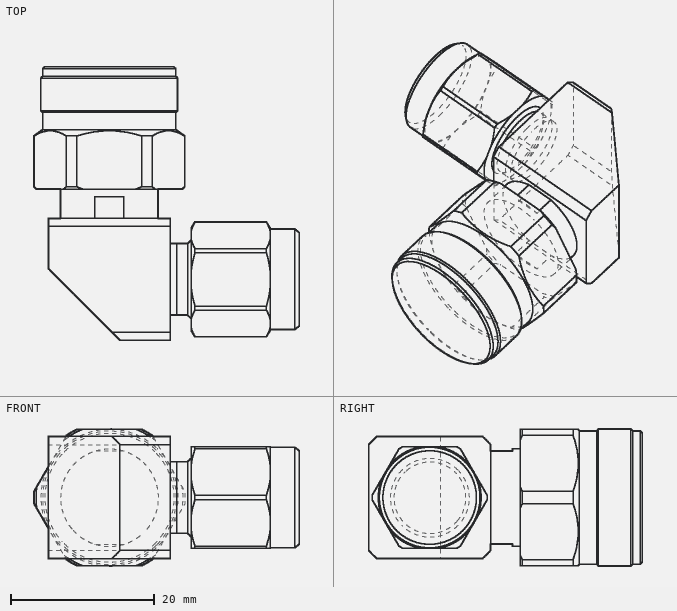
import cadquery as cq
import math


OVERALL_X = 36.95
OVERALL_Y = 38.1
HEX_SIDES = 6

BLOCK_SIDE = 17.0
BLOCK_HALF = BLOCK_SIDE / 2
BLOCK_CORNER_CUT = 10.0
BLOCK_TURNED_RADIUS = 11.25
BOSS_RADIUS = 5.0
BOSS_LENGTH = 0.88

LARGE_NECK_RADIUS = 13.6 / 2
LARGE_NECK_FLATS = 13.0
LARGE_NECK_FLAT_LENGTH = 3.0
LARGE_HEX_START = 12.57
LARGE_HEX_END = 20.85
LARGE_HEX_FLATS = 19.0
LARGE_HEX_RADIUS = 10.5
LARGE_HEX_REAR_CHAMFER = 0.3
LARGE_HEX_FRONT_CHAMFER = 0.88
LARGE_BARREL_RADIUS = 9.3
LARGE_BAND_RADIUS = 19.1 / 2
LARGE_BAND_START = 23.25
LARGE_BAND_END = 28.27
LARGE_BAND_CHAMFER = LARGE_BAND_RADIUS - LARGE_BARREL_RADIUS
LARGE_LENGTH = OVERALL_Y - BLOCK_HALF
LARGE_TIP_CHAMFER = 0.3

SMALL_FLARE_START = 10.9
SMALL_HEX_START = 11.4
SMALL_HEX_END = 22.4
SMALL_HEX_FLATS = 14.17
SMALL_HEX_RADIUS = 8.0
SMALL_HEX_FACE_RADIUS = 7.15
SMALL_HEX_CHAMFER = 0.55
SMALL_BARREL_RADIUS = 7.0
SMALL_LENGTH = OVERALL_X - LARGE_HEX_RADIUS
SMALL_TIP_CHAMFER_LENGTH = 0.6
SMALL_TIP_CHAMFER_DEPTH = 0.5


def turned(profile):
    """Revolve (position, radius) points, closed along the axis, about the X axis."""
    start = profile[0][0]
    end = profile[-1][0]
    outline = [(start, 0), *profile, (end, 0)]
    return cq.Workplane("XY").polyline(outline).close().revolve(360, (0, 0, 0), (1, 0, 0))


def hexagon(start, end, across_flats):
    """Hexagonal prism along X with two of its flats facing +Z and -Z."""
    corner_diameter = across_flats / math.cos(math.pi / HEX_SIDES)
    return cq.Workplane("YZ").workplane(offset=start).polygon(HEX_SIDES, corner_diameter).extrude(end - start)


def make_block():
    block = cq.Workplane("XY").box(BLOCK_SIDE, BLOCK_SIDE, BLOCK_SIDE)
    round_bar = cq.Workplane("YZ").circle(BLOCK_TURNED_RADIUS).extrude(BLOCK_HALF, both=True)
    block = block.intersect(round_bar)

    corner_cut = (
        cq.Workplane("XY")
        .moveTo(-BLOCK_HALF, -BLOCK_HALF)
        .hLine(BLOCK_CORNER_CUT)
        .lineTo(-BLOCK_HALF, -BLOCK_HALF + BLOCK_CORNER_CUT)
        .close()
        .extrude(BLOCK_HALF, both=True)
    )
    boss = cq.Workplane("YZ").workplane(offset=BLOCK_HALF).circle(BOSS_RADIUS).extrude(BOSS_LENGTH)
    return block.cut(corner_cut).union(boss)


def large_neck():
    length = LARGE_HEX_START - BLOCK_HALF
    neck = cq.Workplane("YZ").workplane(offset=BLOCK_HALF).circle(LARGE_NECK_RADIUS).extrude(length)
    for side in (1, -1):
        flat_cut = (
            cq.Workplane("XY")
            .box(LARGE_NECK_FLAT_LENGTH, 2 * LARGE_NECK_RADIUS, LARGE_NECK_RADIUS, centered=(False, True, True))
            .translate((BLOCK_HALF, 0, side * (LARGE_NECK_FLATS + LARGE_NECK_RADIUS) / 2))
        )
        neck = neck.cut(flat_cut)
    return neck


def make_large_connector():
    """Built along X, then turned to point along +Y."""
    hex_envelope = turned([
        (LARGE_HEX_START, LARGE_HEX_RADIUS - LARGE_HEX_REAR_CHAMFER),
        (LARGE_HEX_START + LARGE_HEX_REAR_CHAMFER, LARGE_HEX_RADIUS),
        (LARGE_HEX_END - LARGE_HEX_FRONT_CHAMFER, LARGE_HEX_RADIUS),
        (LARGE_HEX_END, LARGE_BARREL_RADIUS),
    ])
    nut = hexagon(LARGE_HEX_START, LARGE_HEX_END, LARGE_HEX_FLATS).intersect(hex_envelope)
    barrel = turned([
        (LARGE_HEX_END, LARGE_BARREL_RADIUS),
        (LARGE_BAND_START, LARGE_BARREL_RADIUS),
        (LARGE_BAND_START + LARGE_BAND_CHAMFER, LARGE_BAND_RADIUS),
        (LARGE_BAND_END - LARGE_BAND_CHAMFER, LARGE_BAND_RADIUS),
        (LARGE_BAND_END, LARGE_BARREL_RADIUS),
        (LARGE_LENGTH - LARGE_TIP_CHAMFER, LARGE_BARREL_RADIUS),
        (LARGE_LENGTH, LARGE_BARREL_RADIUS - LARGE_TIP_CHAMFER),
    ])
    connector = large_neck().union(nut).union(barrel)
    return connector.rotate((0, 0, 0), (0, 0, 1), 90)


def make_small_connector():
    sleeve = turned([
        (BLOCK_HALF + BOSS_LENGTH, BOSS_RADIUS),
        (SMALL_FLARE_START, BOSS_RADIUS),
        (SMALL_HEX_START, BOSS_RADIUS + SMALL_HEX_START - SMALL_FLARE_START),
    ])
    hex_envelope = turned([
        (SMALL_HEX_START, SMALL_HEX_FACE_RADIUS),
        (SMALL_HEX_START + SMALL_HEX_CHAMFER, SMALL_HEX_RADIUS),
        (SMALL_HEX_END - SMALL_HEX_CHAMFER, SMALL_HEX_RADIUS),
        (SMALL_HEX_END, SMALL_HEX_FACE_RADIUS),
    ])
    nut = hexagon(SMALL_HEX_START, SMALL_HEX_END, SMALL_HEX_FLATS).intersect(hex_envelope)
    barrel = turned([
        (SMALL_HEX_END, SMALL_BARREL_RADIUS),
        (SMALL_LENGTH - SMALL_TIP_CHAMFER_LENGTH, SMALL_BARREL_RADIUS),
        (SMALL_LENGTH, SMALL_BARREL_RADIUS - SMALL_TIP_CHAMFER_DEPTH),
    ])
    return sleeve.union(nut).union(barrel)


block = make_block()
large_connector = make_large_connector()
small_connector = make_small_connector()

result = cq.Compound.makeCompound([block.val(), large_connector.val(), small_connector.val()])